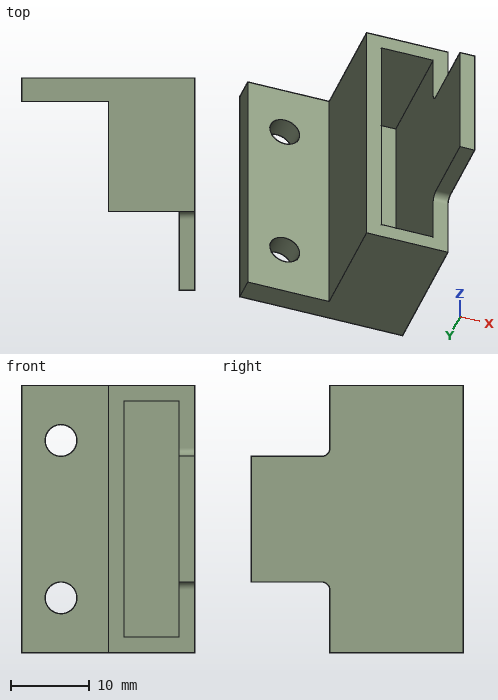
import cadquery as cq

width = 22.0
height = 34.0

plate_thickness = 3.0
hole_diameter = 4.0
hole_x = 5.0
hole_end_distance = 7.0

housing_width = 11.0
housing_depth = 17.0
wall = 2.0

tab_length = 10.0
tab_height = 16.0
tab_root_radius = 1.0

housing_left = width - housing_width
housing_front = -housing_depth
tab_front = housing_front - tab_length
tab_left = width - wall
tab_bottom = (height - tab_height) / 2
tab_top = tab_bottom + tab_height


def block(x_range, y_range, z_range):
    """Axis-aligned box spanning the given (low, high) ranges."""
    ranges = (x_range, y_range, z_range)
    sizes = [high - low for low, high in ranges]
    corner = tuple(low for low, high in ranges)
    return cq.Workplane("XY").box(*sizes, centered=False).translate(corner)


def make_plate():
    plate = block((0, width), (-plate_thickness, 0), (0, height))
    hole_heights = (hole_end_distance, height - hole_end_distance)
    holes = (
        cq.Workplane("XZ")
        .pushPoints([(hole_x, z) for z in hole_heights])
        .circle(hole_diameter / 2)
        .extrude(plate_thickness)
    )
    return plate.cut(holes)


def make_housing():
    outer = block((housing_left, width), (housing_front, 0), (0, height))
    cavity = block(
        (housing_left + wall, width - wall),
        (housing_front, -plate_thickness),
        (wall, height - wall),
    )
    return outer.cut(cavity)


def make_tab():
    """Tab with concave fillets where it leaves the housing rim."""
    fillet_end = housing_front - tab_root_radius
    return (
        cq.Workplane("YZ", origin=(tab_left, 0, 0))
        .moveTo(housing_front, tab_bottom - tab_root_radius)
        .radiusArc((fillet_end, tab_bottom), -tab_root_radius)
        .lineTo(tab_front, tab_bottom)
        .lineTo(tab_front, tab_top)
        .lineTo(fillet_end, tab_top)
        .radiusArc((housing_front, tab_top + tab_root_radius), -tab_root_radius)
        .close()
        .extrude(wall)
    )


result = make_plate().union(make_housing()).union(make_tab())